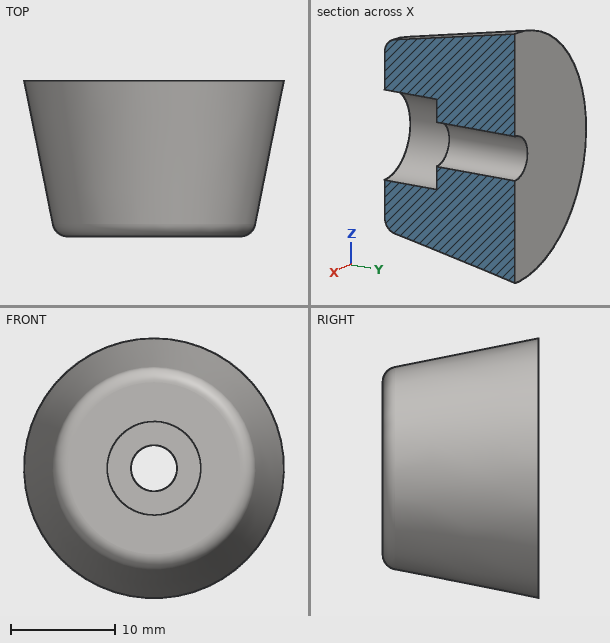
import cadquery as cq

height = 15.0
wide_diameter = 25.0
narrow_diameter = 19.0
edge_radius = 1.5

screw_hole_diameter = 4.4
counterbore_diameter = 9.0
counterbore_depth = 6.0


def tapered_body():
    """Truncated cone narrowing toward -Y, with its narrow rim rounded."""
    half_profile = (
        cq.Workplane("YZ")
        .moveTo(0, 0)
        .lineTo(0, wide_diameter / 2)
        .lineTo(-height, narrow_diameter / 2)
        .lineTo(-height, 0)
        .close()
    )
    body = half_profile.revolve(360, (0, 0, 0), (1, 0, 0))
    return body.faces("<Y").edges().fillet(edge_radius)


def cut_screw_hole(body):
    """Through hole along the axis, counterbored from the narrow end."""
    return (
        body.faces("<Y")
        .workplane(origin=(0, -height, 0))
        .cboreHole(screw_hole_diameter, counterbore_diameter, counterbore_depth)
    )


result = cut_screw_hole(tapered_body())